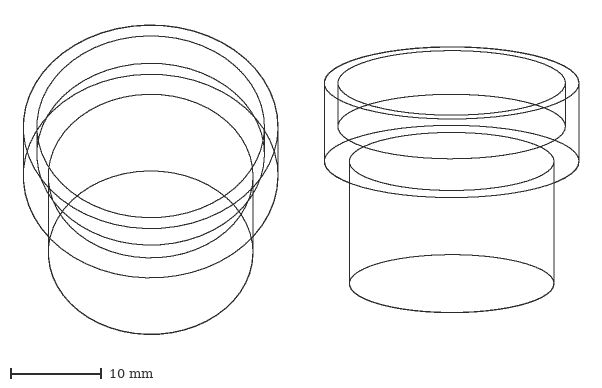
import cadquery as cq

head_diameter = 28.0
head_height = 9.0
stem_diameter = 22.5
stem_height = 14.0
rim_thickness = 1.5
recess_depth = 5.0

total_height = stem_height + head_height
recess_diameter = head_diameter - 2 * rim_thickness
recess_floor = total_height - recess_depth


def cylinder(diameter, height, base_z):
    """Solid cylinder on the Z axis, standing on the height base_z."""
    return cq.Workplane("XY").workplane(offset=base_z).circle(diameter / 2).extrude(height)


stem = cylinder(stem_diameter, stem_height, 0)
head = cylinder(head_diameter, head_height, stem_height)

recess = cylinder(recess_diameter, recess_depth, recess_floor)

result = stem.union(head).cut(recess)